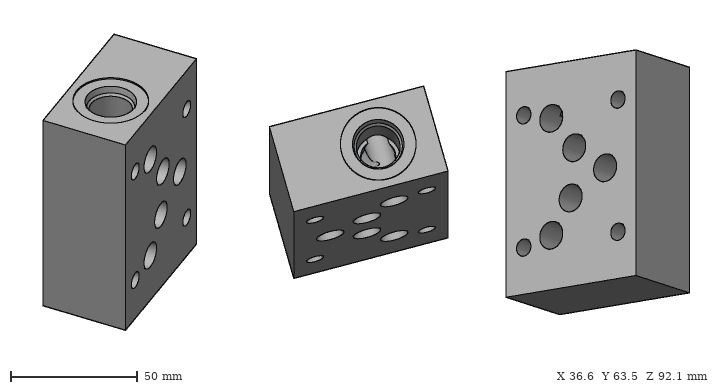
import cadquery as cq
import math

width_x = 36.6
length_y = 63.5
height_z = 92.1

bolt_diameter = 7.0
bolt_y = 23.0
bolt_z = 27.0
flow_diameter = 11.2
pressure_port = (16.8, 0.0)
work_y = 1.7
work_z = 10.3
tank_y = -9.6
tank_z = 23.85
slant_y = -1.75
slant_z = 0.4
slant_overrun = 0.2

port_y = -8.0
spotface_radius = 15.0
spotface_depth = 0.6
seat_mouth_radius = 10.2
seat_end_radius = 9.6
seat_depth = 2.9
thread_radius = 8.7
thread_depth = 18.3
pilot_radius = 7.0
pilot_depth = 23.8
drill_point_angle = 118.0


def bore(start, end, diameter):
    """Cylinder whose axis runs from one point to another."""
    direction = end - start
    return cq.Workplane(cq.Solid.makeCylinder(diameter / 2, direction.Length, start, direction))


def through_bore(y, z, diameter):
    """Straight cylinder along X through the whole block."""
    return bore(cq.Vector(-width_x / 2, y, z), cq.Vector(width_x / 2, y, z), diameter)


def port_cutter():
    """Revolved stepped port: spotface, tapered seat, thread bore and pointed pilot drill."""
    top = height_z / 2
    seat_top = top - spotface_depth
    seat_bottom = seat_top - seat_depth
    chamfer_bottom = seat_bottom - (seat_end_radius - thread_radius)
    thread_bottom = top - thread_depth
    pilot_bottom = top - pilot_depth
    tip = pilot_bottom - pilot_radius / math.tan(math.radians(drill_point_angle / 2))
    profile = [
        (0, top),
        (spotface_radius, top),
        (spotface_radius, seat_top),
        (seat_mouth_radius, seat_top),
        (seat_end_radius, seat_bottom),
        (thread_radius, chamfer_bottom),
        (thread_radius, thread_bottom),
        (pilot_radius, thread_bottom),
        (pilot_radius, pilot_bottom),
        (0, tip),
    ]
    cutter = cq.Workplane("XZ").polyline(profile).close().revolve(360, (0, 0), (0, 1))
    return cutter.translate((0, port_y, 0))


result = cq.Workplane("XY").box(width_x, length_y, height_z)

for y in (-bolt_y, bolt_y):
    for z in (-bolt_z, bolt_z):
        result = result.cut(through_bore(y, z, bolt_diameter))

through_passages = [pressure_port, (work_y, work_z), (tank_y, tank_z), (tank_y, -tank_z)]
for y, z in through_passages:
    result = result.cut(through_bore(y, z, flow_diameter))

slant_entry = cq.Vector(-width_x / 2, work_y, -work_z)
slant_run = cq.Vector(width_x, slant_y, slant_z)
slant_start = slant_entry - slant_run * slant_overrun
slant_end = slant_entry + slant_run * (1 + slant_overrun)
result = result.cut(bore(slant_start, slant_end, flow_diameter))

result = result.cut(port_cutter())